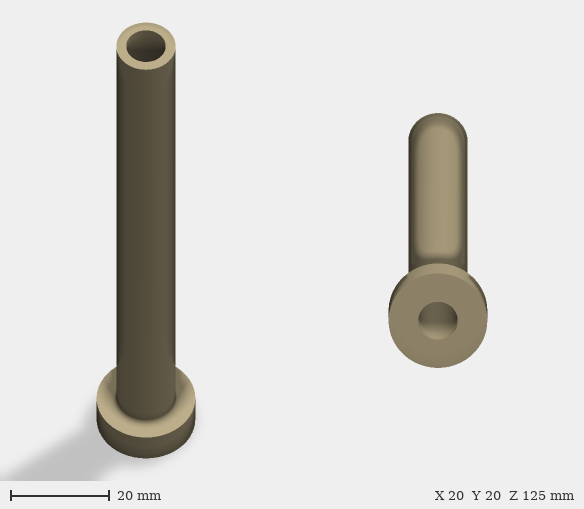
import cadquery as cq

total_length = 125.0
head_diameter = 20.0
head_height = 7.0
shank_diameter = 12.0
bore_diameter = 8.0
neck_fillet = 0.8

head = cq.Workplane("XY").circle(head_diameter / 2).extrude(head_height)
shank = cq.Workplane("XY").circle(shank_diameter / 2).extrude(total_length)
body = head.union(shank)

neck_corner = cq.selectors.RadiusNthSelector(0)
body = body.edges(cq.selectors.BoxSelector(
    (-head_diameter, -head_diameter, head_height / 2),
    (head_diameter, head_diameter, head_height * 2),
)).edges(neck_corner).fillet(neck_fillet)

bore = cq.Workplane("XY").circle(bore_diameter / 2).extrude(total_length)
result = body.cut(bore)